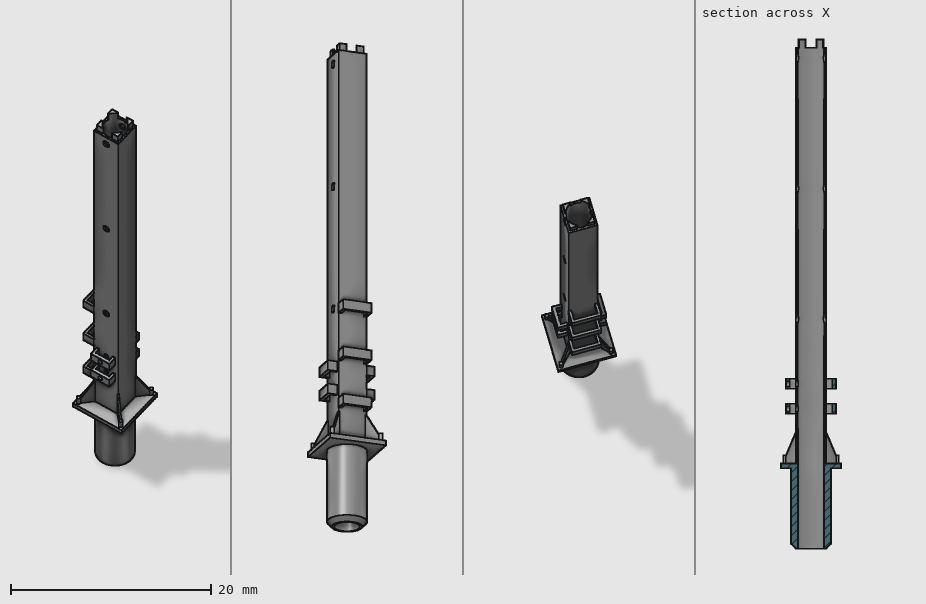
import cadquery as cq
import math

total_height = 50.9
base_width = 6.0
base_thickness = 0.5
spigot_length = 8.05
base_top = spigot_length + base_thickness

spigot_diameter = 4.0
spigot_chamfer = 0.5

tube_width = 3.0
tube_half = tube_width / 2
bore_diameter = 2.6
corner_peg_size = 0.75
corner_peg_height = 0.8
corner_peg_offset = 0.9
tube_top = total_height - corner_peg_height

cross_hole_diameter = 0.75
cross_hole_top_inset = 1.0
cross_hole_pitch = 13.05
cross_hole_count = 3

pin_diameter = 0.4
pin_height = 0.8
pin_offset = 2.6
gusset_thickness = 0.2
gusset_height = 3.0
gusset_outer_height = 0.4

loop_height = 1.0
loop_wall = 0.3

side_loop_width = 3.05
side_loop_reach = 1.3
side_loop_first_z = 12.45
side_loop_pitch = 5.05
side_loop_count = 3

front_loop_width = 2.3
front_loop_reach = 1.0
front_loop_front_wall = 0.4
front_loop_first_z = 14.0
front_loop_pitch = 2.5
front_loop_count = 2
loop_hole_diameter = 0.5


def block(size_x, size_y, height, x, y, bottom):
    """Box centred on (x, y) and standing on the level `bottom`."""
    return cq.Workplane("XY").box(size_x, size_y, height, (True, True, False)).translate((x, y, bottom))


def make_spigot():
    spigot = cq.Workplane("XY").circle(spigot_diameter / 2).extrude(spigot_length)
    return spigot.faces("<Z").chamfer(spigot_chamfer)


def make_gusset():
    """Tapered web from the tube axis to a base pin, along +X."""
    tube_corner = tube_half * math.sqrt(2)
    pin_distance = pin_offset * math.sqrt(2)
    profile = [
        (0, 0),
        (pin_distance, 0),
        (pin_distance, gusset_outer_height),
        (tube_corner, gusset_height),
        (0, gusset_height),
    ]
    web = cq.Workplane("XZ").polyline(profile).close().extrude(gusset_thickness / 2, both=True)
    return web.translate((0, 0, base_top))


def make_loop(width, reach, front_wall, center_z):
    """U-shaped loop standing out from the -X face of the tube."""
    bottom = center_z - loop_height / 2
    gap = reach - front_wall
    outer = block(reach, width, loop_height, -tube_half - reach / 2, 0, bottom)
    opening = block(gap, width - 2 * loop_wall, loop_height, -tube_half - gap / 2, 0, bottom)
    return outer.cut(opening)


body = make_spigot()
body = body.union(block(base_width, base_width, base_thickness, 0, 0, spigot_length))
body = body.union(block(tube_width, tube_width, tube_top - base_top, 0, 0, base_top))

for side_x in (-1, 1):
    for side_y in (-1, 1):
        peg = block(
            corner_peg_size,
            corner_peg_size,
            corner_peg_height,
            side_x * corner_peg_offset,
            side_y * corner_peg_offset,
            tube_top,
        )
        pin = (
            cq.Workplane("XY", origin=(side_x * pin_offset, side_y * pin_offset, base_top))
            .circle(pin_diameter / 2)
            .extrude(pin_height)
        )
        corner_angle = math.degrees(math.atan2(side_y, side_x))
        gusset = make_gusset().rotate((0, 0, 0), (0, 0, 1), corner_angle)
        body = body.union(peg).union(pin).union(gusset)

body = body.cut(cq.Workplane("XY").circle(bore_diameter / 2).extrude(total_height))

for index in range(cross_hole_count):
    hole_z = tube_top - cross_hole_top_inset - index * cross_hole_pitch
    cross_hole = (
        cq.Workplane("XZ", origin=(0, 0, hole_z))
        .circle(cross_hole_diameter / 2)
        .extrude(tube_width, both=True)
    )
    body = body.cut(cross_hole)

for index in range(side_loop_count):
    loop_z = side_loop_first_z + index * side_loop_pitch
    body = body.union(make_loop(side_loop_width, side_loop_reach, loop_wall, loop_z))

for index in range(front_loop_count):
    loop_z = front_loop_first_z + index * front_loop_pitch
    front_loop = make_loop(front_loop_width, front_loop_reach, front_loop_front_wall, loop_z)
    for turn in (90, -90):
        body = body.union(front_loop.rotate((0, 0, 0), (0, 0, 1), turn))
    loop_hole = (
        cq.Workplane("XZ", origin=(0, 0, loop_z))
        .circle(loop_hole_diameter / 2)
        .extrude(tube_half + front_loop_reach)
    )
    body = body.cut(loop_hole)

result = body